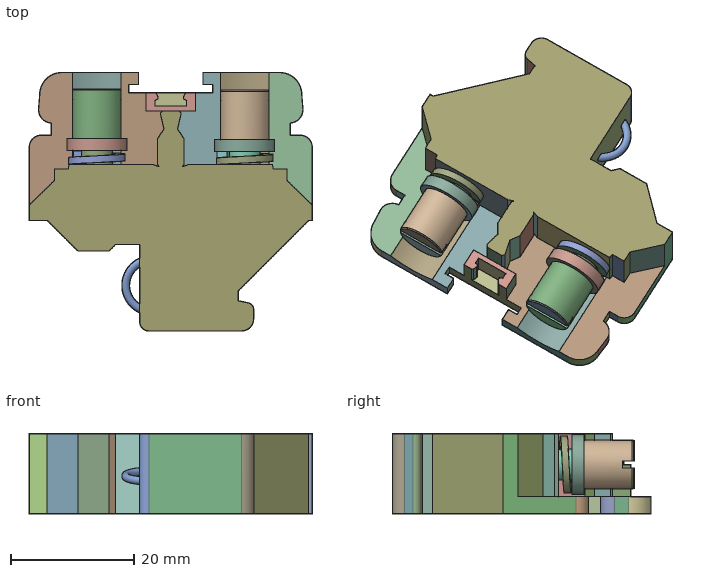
import cadquery as cq
import math

HALF_WIDTH = 23.0
DEPTH = 42.0
HEIGHT = 13.0
BASE_THICKNESS = 2.8

WALL_Y = 27.0
WALL_HALF_WIDTH = 16.5
WALL_FOOT_HALF_WIDTH = 16.65
STEP_Y = 26.3
STEP_HALF_WIDTH = 18.85
SLANT_START_Y = 24.45
SLANT_END_Y = 20.42
FRONT_EDGE_Y = 17.95

KEEL_LEFT_X = -15.1
KEEL_RIGHT_X = -10.05
KEEL_Y = 12.95

FOOT_ROOT_Y = 14.05
FOOT_LEFT_X = -5.05
FOOT_RIGHT_X = 13.5
FOOT_LEFT_RADIUS = 1.5
FOOT_RIGHT_RADIUS = 2.0
FOOT_NECK_X = 11.0
FOOT_NECK_Y = 6.55
HOOK_Y = 4.9
HOOK_ARC_START_Y = 3.35
HOOK_ARC_MIDDLE = (13.2, 4.25)
HOOK_ARC_END = (12.55, 4.6)

OPENING_HALF_WIDTH = 5.2
RAIL_SLOT_HALF_WIDTH = 6.8
RAIL_SLOT_Y = 38.75
LIP_Y = 40.0

LOBE_HALF_WIDTH = 21.3
LOBE_RADIUS = 3.65

NOSE_HALF_WIDTH = 21.5
NOSE_Y = 36.05
NOSE_ARC_MIDDLE = (-20.95, 34.5)
NOTCH_HALF_WIDTH = 19.4
NOTCH_REAR_Y = 33.75
NOTCH_FRONT_Y = 31.85
SIDE_RADIUS = 2.02

BRACKET_HALF_WIDTH = 4.0
BRACKET_FRONT_Y = 35.75
BRACKET_HEIGHT = 8.0
BRACKET_MOUTH_HALF_WIDTH = 2.6
BRACKET_LEAD_IN_HALF_WIDTH = 2.3
BRACKET_LEAD_IN_Y = 38.55
BRACKET_NECK_HALF_WIDTH = 2.05
BRACKET_NECK_REAR_Y = 38.0
BRACKET_NECK_FRONT_Y = 37.67
BRACKET_SLOT_HALF_WIDTH = 2.58
BRACKET_SLOT_REAR_Y = 37.45
BRACKET_SLOT_FRONT_Y = 36.52
POST_HALF_WIDTH = 2.1
POST_REAR_HALF_WIDTH = 1.7
POST_WAIST_HALF_WIDTH = 1.1
POST_WAIST_Y = 32.8
POST_SHOULDER_Y = 31.3
POST_CHAMFER = 0.35
RELIEF_DEPTH = 0.3
RELIEF_OUTER_X = 2.8
RELIEF_INNER_X = 1.9

SCREW_X = 12.0
SCREW_Z = 8.0
HEAD_DIAMETER = 7.9
COLLAR_DIAMETER = 9.75
SHANK_DIAMETER = 5.0
LEFT_HEAD_END_Y = 39.35
RIGHT_SCREW_OFFSET = -0.2
HEAD_LENGTH = 8.05
COLLAR_THICKNESS = 1.95
HEAD_CHAMFER_RADIAL = 0.1
HEAD_CHAMFER_AXIAL = 0.25
DRIVER_SLOT_WIDTH = 1.1
DRIVER_SLOT_DEPTH = 1.75
TROUGH_DEPTH = 0.9

WASHER_OUTER_RADIUS = 4.6
WASHER_INNER_RADIUS = 2.95
WASHER_THICKNESS = 1.1
WASHER_PITCH = 1.2
WASHER_EMBED = 0.05
WASHER_GAP_ANGLE = 4.0
LEFT_SPLIT_ANGLE = 34.0
RIGHT_SPLIT_ANGLE = 12.0

LOOP_CENTER = (-3.0, 7.4, 6.1)
LOOP_RADIUS = 4.32
LOOP_WIRE_RADIUS = 0.65
LOOP_TILT = 11.0

DIAGONAL = math.sqrt(0.5)


def make_block():
    """Full-height block: rear wall, slanted shoulders and the hooked foot."""
    left_corner = FOOT_LEFT_RADIUS * (1 - DIAGONAL)
    right_corner = FOOT_RIGHT_RADIUS * (1 - DIAGONAL)
    return (
        cq.Workplane("XY")
        .moveTo(-HALF_WIDTH, FRONT_EDGE_Y)
        .lineTo(KEEL_LEFT_X - (FRONT_EDGE_Y - KEEL_Y), FRONT_EDGE_Y)
        .lineTo(KEEL_LEFT_X, KEEL_Y)
        .lineTo(KEEL_RIGHT_X, KEEL_Y)
        .lineTo(KEEL_RIGHT_X + (FOOT_ROOT_Y - KEEL_Y), FOOT_ROOT_Y)
        .lineTo(FOOT_LEFT_X, FOOT_ROOT_Y)
        .lineTo(FOOT_LEFT_X, FOOT_LEFT_RADIUS)
        .threePointArc((FOOT_LEFT_X + left_corner, left_corner), (FOOT_LEFT_X + FOOT_LEFT_RADIUS, 0))
        .lineTo(FOOT_RIGHT_X - FOOT_RIGHT_RADIUS, 0)
        .threePointArc((FOOT_RIGHT_X - right_corner, right_corner), (FOOT_RIGHT_X, FOOT_RIGHT_RADIUS))
        .lineTo(FOOT_RIGHT_X, HOOK_ARC_START_Y)
        .threePointArc(HOOK_ARC_MIDDLE, HOOK_ARC_END)
        .lineTo(FOOT_NECK_X, HOOK_Y)
        .lineTo(FOOT_NECK_X, FOOT_NECK_Y)
        .lineTo(FOOT_NECK_X + (FRONT_EDGE_Y - FOOT_NECK_Y), FRONT_EDGE_Y)
        .lineTo(HALF_WIDTH, FRONT_EDGE_Y)
        .lineTo(HALF_WIDTH, SLANT_END_Y)
        .lineTo(STEP_HALF_WIDTH, SLANT_START_Y)
        .lineTo(STEP_HALF_WIDTH, STEP_Y)
        .lineTo(WALL_FOOT_HALF_WIDTH, STEP_Y)
        .lineTo(WALL_HALF_WIDTH, WALL_Y)
        .lineTo(-WALL_HALF_WIDTH, WALL_Y)
        .lineTo(-WALL_FOOT_HALF_WIDTH, STEP_Y)
        .lineTo(-STEP_HALF_WIDTH, STEP_Y)
        .lineTo(-STEP_HALF_WIDTH, SLANT_START_Y)
        .lineTo(-HALF_WIDTH, SLANT_END_Y)
        .close()
        .extrude(HEIGHT)
    )


def make_base_plate():
    """Thin rear plate with rounded lobes, side notches and the rail opening."""
    lobe_corner = LOBE_RADIUS * (1 - DIAGONAL)
    lobe_middle = (lobe_corner - LOBE_HALF_WIDTH, DEPTH - lobe_corner)
    side_corner = SIDE_RADIUS * (1 - DIAGONAL)
    side_middle = (side_corner - HALF_WIDTH, NOTCH_FRONT_Y - side_corner)
    return (
        cq.Workplane("XY")
        .moveTo(0, RAIL_SLOT_Y)
        .lineTo(-RAIL_SLOT_HALF_WIDTH, RAIL_SLOT_Y)
        .lineTo(-RAIL_SLOT_HALF_WIDTH, LIP_Y)
        .lineTo(-OPENING_HALF_WIDTH, LIP_Y)
        .lineTo(-OPENING_HALF_WIDTH, DEPTH)
        .lineTo(LOBE_RADIUS - LOBE_HALF_WIDTH, DEPTH)
        .threePointArc(lobe_middle, (-LOBE_HALF_WIDTH, DEPTH - LOBE_RADIUS))
        .lineTo(-NOSE_HALF_WIDTH, NOSE_Y)
        .threePointArc(NOSE_ARC_MIDDLE, (-NOTCH_HALF_WIDTH, NOTCH_REAR_Y))
        .lineTo(-NOTCH_HALF_WIDTH, NOTCH_FRONT_Y)
        .lineTo(SIDE_RADIUS - HALF_WIDTH, NOTCH_FRONT_Y)
        .threePointArc(side_middle, (-HALF_WIDTH, NOTCH_FRONT_Y - SIDE_RADIUS))
        .lineTo(-HALF_WIDTH, FRONT_EDGE_Y)
        .lineTo(0, FRONT_EDGE_Y)
        .mirrorY()
        .extrude(BASE_THICKNESS)
    )


def make_trough(screw_x):
    """Shallow round channel in the base plate below a screw."""
    half_width = HEAD_DIAMETER / 2
    radius = (half_width**2 + TROUGH_DEPTH**2) / (2 * TROUGH_DEPTH)
    axis_z = BASE_THICKNESS - TROUGH_DEPTH + radius
    return (
        cq.Workplane("XZ", origin=(screw_x, WALL_Y, axis_z))
        .circle(radius)
        .extrude(WALL_Y - DEPTH)
    )


def make_bracket():
    """Half-height bracket with a necked slot open to the rear."""
    length = RAIL_SLOT_Y - BRACKET_FRONT_Y
    bracket = (
        cq.Workplane("XY", origin=(0, BRACKET_FRONT_Y, 0))
        .box(2 * BRACKET_HALF_WIDTH, length, BRACKET_HEIGHT, centered=(True, False, False))
    )
    slot = (
        cq.Workplane("XY", origin=(0, 0, BASE_THICKNESS))
        .moveTo(0, RAIL_SLOT_Y)
        .lineTo(-BRACKET_MOUTH_HALF_WIDTH, RAIL_SLOT_Y)
        .lineTo(-BRACKET_LEAD_IN_HALF_WIDTH, BRACKET_LEAD_IN_Y)
        .lineTo(-BRACKET_NECK_HALF_WIDTH, BRACKET_NECK_REAR_Y)
        .lineTo(-BRACKET_NECK_HALF_WIDTH, BRACKET_NECK_FRONT_Y)
        .lineTo(-BRACKET_SLOT_HALF_WIDTH, BRACKET_SLOT_REAR_Y)
        .lineTo(-BRACKET_SLOT_HALF_WIDTH, BRACKET_SLOT_FRONT_Y)
        .lineTo(0, BRACKET_SLOT_FRONT_Y)
        .mirrorY()
        .extrude(BRACKET_HEIGHT)
    )
    return bracket.cut(slot)


def make_post():
    """Full-height post with a waist, running from the wall to the bracket."""
    return (
        cq.Workplane("XY")
        .moveTo(0, BRACKET_FRONT_Y)
        .lineTo(POST_CHAMFER - POST_REAR_HALF_WIDTH, BRACKET_FRONT_Y)
        .lineTo(-POST_REAR_HALF_WIDTH, BRACKET_FRONT_Y - POST_CHAMFER)
        .lineTo(-POST_WAIST_HALF_WIDTH, POST_WAIST_Y)
        .lineTo(-POST_HALF_WIDTH, POST_SHOULDER_Y)
        .lineTo(-POST_HALF_WIDTH, STEP_Y)
        .lineTo(0, STEP_Y)
        .mirrorY()
        .extrude(HEIGHT)
    )


def make_relief(side):
    """Small relief groove where the wall meets the post; side is -1 or 1."""
    return (
        cq.Workplane("XY", origin=(0, 0, BASE_THICKNESS))
        .moveTo(side * RELIEF_OUTER_X, WALL_Y)
        .lineTo(side * RELIEF_INNER_X, WALL_Y - RELIEF_DEPTH)
        .lineTo(side * POST_HALF_WIDTH, WALL_Y)
        .close()
        .extrude(HEIGHT)
    )


def make_screw(screw_x, head_end_y):
    """Slotted cylindrical head with a collar and a thinner shank."""
    head_radius = HEAD_DIAMETER / 2
    collar_top_y = head_end_y - HEAD_LENGTH
    collar_bottom_y = collar_top_y - COLLAR_THICKNESS
    screw = (
        cq.Workplane("XY")
        .moveTo(0, STEP_Y)
        .lineTo(SHANK_DIAMETER / 2, STEP_Y)
        .lineTo(SHANK_DIAMETER / 2, collar_bottom_y)
        .lineTo(COLLAR_DIAMETER / 2, collar_bottom_y)
        .lineTo(COLLAR_DIAMETER / 2, collar_top_y)
        .lineTo(head_radius, collar_top_y)
        .lineTo(head_radius, head_end_y - HEAD_CHAMFER_AXIAL)
        .lineTo(head_radius - HEAD_CHAMFER_RADIAL, head_end_y)
        .lineTo(0, head_end_y)
        .close()
        .revolve(360, (0, 0, 0), (0, 1, 0))
    )
    driver_slot = cq.Workplane("XY").box(HEAD_DIAMETER, 2 * DRIVER_SLOT_DEPTH, DRIVER_SLOT_WIDTH)
    screw = screw.cut(driver_slot.translate((0, head_end_y, 0)))
    return screw.translate((screw_x, 0, SCREW_Z))


def make_spring_washer(screw_x, split_angle):
    """Nearly one turn of rectangular wire, ending split_angle degrees below the -X direction."""
    mean_radius = (WASHER_OUTER_RADIUS + WASHER_INNER_RADIUS) / 2
    radial_width = WASHER_OUTER_RADIUS - WASHER_INNER_RADIUS
    turn = (360 - WASHER_GAP_ANGLE) / 360
    helix = cq.Wire.makeHelix(WASHER_PITCH, WASHER_PITCH * turn, mean_radius)
    coil = (
        cq.Workplane("XZ", origin=(mean_radius, 0, 0))
        .rect(radial_width, WASHER_THICKNESS)
        .sweep(cq.Workplane(obj=helix), isFrenet=True)
    )
    coil = coil.rotate((0, 0, 0), (1, 0, 0), -90)
    coil = coil.rotate((0, 0, 0), (0, 1, 0), 180 - split_angle + WASHER_GAP_ANGLE)
    start_y = WALL_Y - WASHER_EMBED + WASHER_THICKNESS / 2
    return coil.translate((screw_x, start_y, SCREW_Z))


def make_wire_loop():
    """Ring of round wire, tilted about X and partly buried in the foot."""
    ring = cq.Workplane(obj=cq.Solid.makeTorus(LOOP_RADIUS, LOOP_WIRE_RADIUS))
    return ring.rotate((0, 0, 0), (1, 0, 0), LOOP_TILT).translate(LOOP_CENTER)


base_plate = make_base_plate()
for x in (-SCREW_X, SCREW_X):
    base_plate = base_plate.cut(make_trough(x))

body = make_block().union(base_plate).union(make_bracket()).union(make_post())
for side in (-1, 1):
    body = body.cut(make_relief(side))

screws = (
    (-SCREW_X, LEFT_HEAD_END_Y, LEFT_SPLIT_ANGLE),
    (SCREW_X, LEFT_HEAD_END_Y + RIGHT_SCREW_OFFSET, RIGHT_SPLIT_ANGLE),
)
for x, head_end_y, split_angle in screws:
    body = body.union(make_screw(x, head_end_y))
    body = body.union(make_spring_washer(x, split_angle))

result = body.union(make_wire_loop())